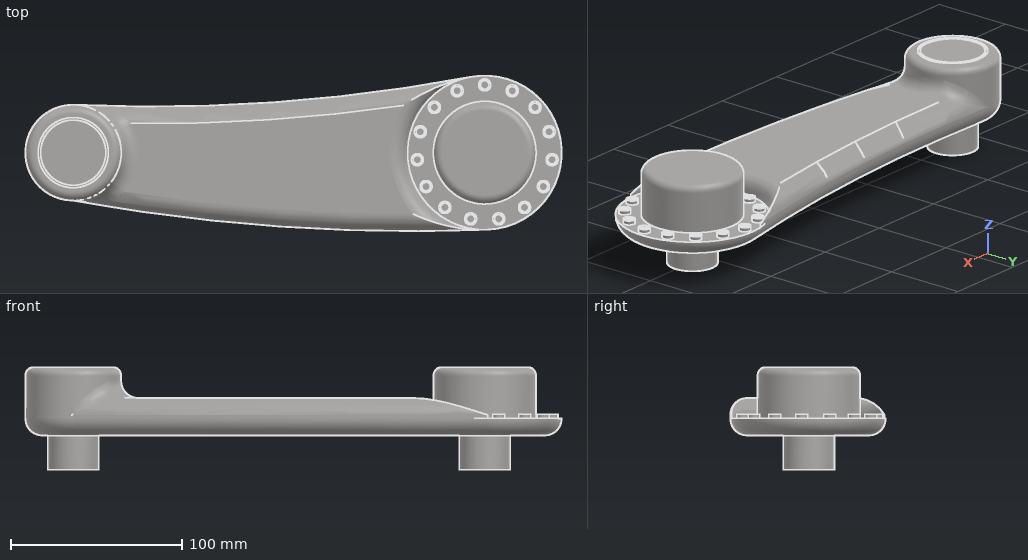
import cadquery as cq
import math

centre_distance = 240.0
hub_radius = 28.0
end_radius = 45.0
hollow_radius = 1000.0
bulge_radius = 1100.0

seat_height = 10.0
arm_height = 22.0
top_height = 40.0

edge_round = 10.0
cap_round = 5.0

knob_radius = 30.0
post_radius = 15.0
post_length = 20.0

groove_outer_radius = 20.5
groove_inner_radius = 19.0
groove_depth = 1.0

stud_count = 15
stud_circle_radius = 39.5
stud_radius = 3.5
stud_height = 2.5
stud_hole_radius = 2.5
stud_hole_depth = 1.0
stud_first_angle = 90.0

match_tolerance = 0.05

hub_centre = (0.0, 0.0)
end_centre = (centre_distance, 0.0)


def toward(start, target, distance):
    """Point at a distance from start along the line to target (negative: away from it)."""
    length = math.dist(start, target)
    return tuple(s + (t - s) * distance / length for s, t in zip(start, target))


def circle_crossing(first, first_radius, second, second_radius):
    """Crossing of two circles that lies on the left when going from the first centre to the second."""
    span = math.dist(first, second)
    along = (first_radius**2 - second_radius**2 + span**2) / (2 * span)
    across = math.sqrt(first_radius**2 - along**2)
    unit_x = (second[0] - first[0]) / span
    unit_y = (second[1] - first[1]) / span
    return (
        first[0] + along * unit_x - across * unit_y,
        first[1] + along * unit_y + across * unit_x,
    )


def arc_through(centre, start, end):
    """Mid and end point of the short arc about a centre, from start to end."""
    chord_middle = tuple((s + e) / 2 for s, e in zip(start, end))
    return toward(centre, chord_middle, math.dist(centre, start)), end


hollow_centre = circle_crossing(
    hub_centre, hollow_radius + hub_radius, end_centre, hollow_radius + end_radius
)
hub_corner = (0.0, -hub_radius)
bulge_centre = circle_crossing(hub_corner, bulge_radius, end_centre, bulge_radius - end_radius)
corner_centre = circle_crossing(
    bulge_centre, bulge_radius + edge_round, hub_centre, hub_radius + edge_round
)

hollow_start = toward(hub_centre, hollow_centre, hub_radius)
hollow_end = toward(end_centre, hollow_centre, end_radius)
bulge_start = toward(end_centre, bulge_centre, -end_radius)
bulge_end = toward(corner_centre, bulge_centre, edge_round)
hub_start = toward(corner_centre, hub_centre, edge_round)


def cylinder(x, radius, bottom, top):
    """Upright cylinder on the crank's centre line."""
    return cq.Workplane("XY", origin=(x, 0, bottom)).circle(radius).extrude(top - bottom)


def make_arm_base():
    """Arm up to the seat height, with round ends and a rounded underside."""
    outline = (
        cq.Workplane("XY")
        .moveTo(*hollow_start)
        .threePointArc(*arc_through(hollow_centre, hollow_start, hollow_end))
        .threePointArc((centre_distance + end_radius, 0), bulge_start)
        .threePointArc(*arc_through(bulge_centre, bulge_start, bulge_end))
        .threePointArc(*arc_through(corner_centre, bulge_end, hub_start))
        .threePointArc((-hub_radius, 0), hollow_start)
        .close()
    )
    plate = outline.extrude(arm_height).faces("<Z").edges().fillet(edge_round)
    return plate.faces("<Z").workplane(-seat_height).split(keepTop=True)


def make_arm_top():
    """Arm above the seat height, between the two ends, with both long edges rounded."""
    outline = (
        cq.Workplane("XY", origin=(0, 0, seat_height))
        .moveTo(*hollow_start)
        .threePointArc(*arc_through(hollow_centre, hollow_start, hollow_end))
        .lineTo(*bulge_start)
        .threePointArc(*arc_through(bulge_centre, bulge_start, bulge_end))
        .threePointArc(*arc_through(corner_centre, bulge_end, hub_start))
        .close()
    )
    plate = outline.extrude(arm_height - seat_height)
    return plate.faces(">Z").edges("%CIRCLE").fillet(edge_round)


def is_hub_root(edge):
    """True for an edge where the hub wall meets the rounded top of the arm."""
    on_wall = all(
        abs(math.hypot(point.x, point.y) - hub_radius) < match_tolerance
        for point in edge.positions([0.1, 0.5, 0.9])
    )
    on_rounding = edge.Center().z > arm_height - edge_round
    below_arm_top = edge.BoundingBox().zmax < arm_height + match_tolerance
    return on_wall and on_rounding and below_arm_top


def blend_hub(arm_top):
    """Add the hub column and fillet its root onto the arm."""
    joined = arm_top.union(cylinder(0, hub_radius, seat_height, top_height))
    root_edges = [edge for edge in joined.edges().vals() if is_hub_root(edge)]
    return joined.newObject(root_edges).fillet(edge_round)


def make_seat_cutter():
    """Space above the round stud seat, flaring out over the arm with a rounded rim."""
    rim_start = arm_height - edge_round
    rim_radius = end_radius + edge_round
    diagonal = edge_round * math.sqrt(0.5)
    profile = (
        cq.Workplane("XZ", origin=(centre_distance, 0, 0))
        .moveTo(0, seat_height)
        .lineTo(end_radius, seat_height)
        .lineTo(end_radius, rim_start)
        .threePointArc((rim_radius - diagonal, rim_start + diagonal), (rim_radius, arm_height))
        .lineTo(rim_radius, top_height)
        .lineTo(0, top_height)
        .close()
    )
    return profile.revolve(360, (0, 0, 0), (0, 1, 0))


def make_groove_cutter():
    """Ring to be sunk into the top of the hub."""
    groove_bottom = top_height - groove_depth
    outer = cylinder(0, groove_outer_radius, groove_bottom, top_height)
    return outer.cut(cylinder(0, groove_inner_radius, groove_bottom, top_height))


def stud_pattern(radius, bottom, top):
    """Cylinders at all stud places around the knob."""
    places = cq.Workplane("XY", origin=(centre_distance, 0, bottom)).polarArray(
        stud_circle_radius, stud_first_angle, 360, stud_count
    )
    return places.circle(radius).extrude(top - bottom)


upper = blend_hub(make_arm_top().cut(make_seat_cutter()))
result = make_arm_base().union(upper)

result = result.union(cylinder(centre_distance, knob_radius, seat_height, top_height))
result = result.faces(">Z").edges().fillet(cap_round)
result = result.cut(make_groove_cutter())

for post_x in (0, centre_distance):
    result = result.union(cylinder(post_x, post_radius, -post_length, 0))

stud_top = seat_height + stud_height
result = result.union(stud_pattern(stud_radius, seat_height, stud_top))
result = result.cut(stud_pattern(stud_hole_radius, stud_top - stud_hole_depth, stud_top))